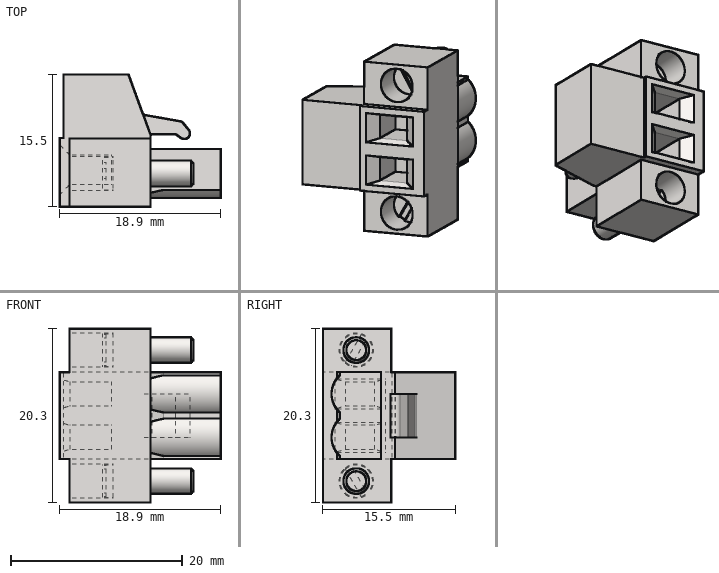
import cadquery as cq
import math


total_length = 18.85
total_depth = 15.5
total_height = 20.32

pole_count = 2
pole_pitch = 5.08
housing_height = pole_count * pole_pitch
pole_centers = [(i - (pole_count - 1) / 2) * pole_pitch for i in range(pole_count)]

body_end_x = 10.65
wire_face_depth = 8.07
rear_step = 0.45
slope_top_x = 8.07
slope_bottom_y = 8.41
slope_top_radius = 0.2

flange_front_x = 1.15
flange_depth = 8.0
screw_y = 3.9
screw_z = 7.66
bore_diameter = 4.0
head_diameter = 3.8
bore_depth = 5.08
head_height = 1.22
slot_width = 0.81
slot_depth = 0.4
slot_tilt = 30.0
pin_diameter = 3.0
pin_end_x = 15.69
pin_chamfer = 0.35

entry_y_min = 1.4
entry_y_max = 7.3
entry_height = 3.52
throat_y_min = 2.62
throat_y_max = 6.05
throat_height = 2.82
funnel_depth = 1.2
entry_depth = 6.1

socket_front_y = 2.0
socket_back_y = 6.79
ramp_start_y = 1.65
ramp_length = 1.5
rib_front_y = 1.02
rib_width = 4.35

latch_height = pole_pitch
latch_top_y = 10.8
latch_bottom_y = 8.5
latch_foot_x = 10.81
latch_tip_x = 14.59
latch_tip_y = 8.6
latch_tip_radius = 0.67
latch_neck_normal = 40.0
latch_neck_length = 1.25
latch_heel_normal = 235.0
latch_knee_radius = 0.4
latch_root_radius = 0.3
latch_embedment = 0.4

slope_run_per_depth = (body_end_x - slope_top_x) / (total_depth - slope_bottom_y)
latch_top_root_x = body_end_x - (latch_top_y - slope_bottom_y) * slope_run_per_depth


def box(x_range, y_range, height):
    """Block over an X range and a Y range, centered on Z = 0."""
    length = x_range[1] - x_range[0]
    depth = y_range[1] - y_range[0]
    return cq.Workplane("XY").box(length, depth, height, centered=(False, False, True)).translate(
        (x_range[0], y_range[0], 0)
    )


def prism(outline, height):
    """Straight-sided XY outline extruded symmetrically about Z = 0."""
    return cq.Workplane("XY").polyline(outline).close().extrude(height / 2, both=True)


def rod(diameter, start_x, end_x, z):
    """Round bar along X on a screw axis."""
    section = cq.Workplane("YZ", origin=(start_x, screw_y, z)).circle(diameter / 2)
    return section.extrude(end_x - start_x)


def make_housing():
    housing = prism(
        [
            (0, 0),
            (body_end_x, 0),
            (body_end_x, slope_bottom_y),
            (slope_top_x, total_depth),
            (rear_step, total_depth),
            (rear_step, wire_face_depth),
            (0, wire_face_depth),
        ],
        housing_height,
    )
    housing = housing.faces(">Y").edges(">X").fillet(slope_top_radius)
    flanges = box((flange_front_x, body_end_x), (0, flange_depth), total_height)
    return housing.union(flanges)


def make_socket():
    socket = prism(
        [
            (body_end_x, ramp_start_y),
            (body_end_x + ramp_length, socket_front_y),
            (total_length, socket_front_y),
            (total_length, socket_back_y),
            (body_end_x, socket_back_y),
        ],
        housing_height,
    )
    for z in pole_centers:
        rib = (
            cq.Workplane("YZ", origin=(body_end_x, 0, z))
            .moveTo(socket_front_y, -rib_width / 2)
            .threePointArc((rib_front_y, 0), (socket_front_y, rib_width / 2))
            .close()
            .extrude(total_length - body_end_x)
        )
        socket = socket.union(rib)
    return socket


def make_latch():
    def tip_point(angle):
        return (
            latch_tip_x + latch_tip_radius * math.cos(math.radians(angle)),
            latch_tip_y + latch_tip_radius * math.sin(math.radians(angle)),
        )

    neck_x, neck_y = tip_point(latch_neck_normal)
    heel_x, heel_y = tip_point(latch_heel_normal)
    neck_direction = math.radians(latch_neck_normal + 90)
    knee = (
        neck_x + latch_neck_length * math.cos(neck_direction),
        neck_y + latch_neck_length * math.sin(neck_direction),
    )
    heel_direction = math.radians(latch_heel_normal - 90)
    heel_rise = latch_bottom_y - heel_y
    tip_middle = tip_point((latch_neck_normal + latch_heel_normal - 360) / 2)

    latch = (
        cq.Workplane("XY")
        .moveTo(latch_top_root_x - latch_embedment, slope_bottom_y)
        .lineTo(body_end_x, slope_bottom_y)
        .lineTo(latch_foot_x, latch_bottom_y)
        .lineTo(heel_x + heel_rise / math.tan(heel_direction), latch_bottom_y)
        .lineTo(heel_x, heel_y)
        .threePointArc(tip_middle, (neck_x, neck_y))
        .lineTo(*knee)
        .lineTo(latch_top_root_x, latch_top_y)
        .lineTo(latch_top_root_x - latch_embedment, latch_top_y)
        .close()
        .extrude(latch_height / 2, both=True)
    )
    return latch.edges(cq.NearestToPointSelector((*knee, 0))).fillet(latch_knee_radius)


def make_wire_entry(z):
    def section(x, y_min, y_max, height):
        middle = (y_min + y_max) / 2
        return cq.Workplane("YZ", origin=(x, middle, z)).rect(y_max - y_min, height)

    funnel = (
        section(0, entry_y_min, entry_y_max, entry_height)
        .workplane(offset=funnel_depth)
        .center((throat_y_min + throat_y_max - entry_y_min - entry_y_max) / 2, 0)
        .rect(throat_y_max - throat_y_min, throat_height)
        .loft(ruled=True)
    )
    throat = section(funnel_depth, throat_y_min, throat_y_max, throat_height).extrude(
        entry_depth - funnel_depth
    )
    return funnel.union(throat)


def add_screw(body, z, tilt):
    """Sink a slotted screw head in its bore and add the pin on the plug side."""
    bore_end_x = flange_front_x + bore_depth
    head_x = bore_end_x - head_height
    head = rod(head_diameter, head_x, bore_end_x, z)
    slot = cq.Workplane("XY").box(slot_depth, slot_width, bore_diameter, centered=(False, True, True))
    slot = slot.rotate((0, 0, 0), (1, 0, 0), tilt).translate((head_x, screw_y, z))
    pin = rod(pin_diameter, body_end_x, pin_end_x, z).faces(">X").chamfer(pin_chamfer)
    bore = rod(bore_diameter, flange_front_x, bore_end_x, z)
    return body.cut(bore).union(head.cut(slot)).union(pin)


result = make_housing().union(make_latch())
latch_root = cq.NearestToPointSelector((latch_top_root_x, latch_top_y, 0))
result = result.edges(latch_root).fillet(latch_root_radius)
result = result.union(make_socket())
for pole_z in pole_centers:
    result = result.cut(make_wire_entry(pole_z))
for side in (1, -1):
    result = add_screw(result, side * screw_z, side * -slot_tilt)